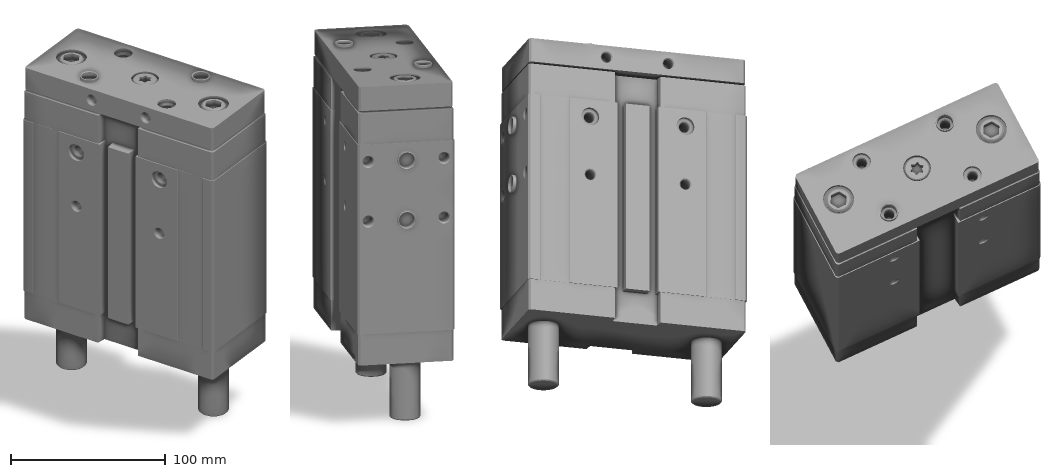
import cadquery as cq
import math


ROD_STICK_OUT = 40.8
CAP_HEIGHT = 20.9
BODY_HEIGHT = 126.8
YOKE_GAP = 1.5
PLATE_HEIGHT = 16.0
LOWER_CAP_Z = ROD_STICK_OUT
BODY_Z = LOWER_CAP_Z + CAP_HEIGHT
UPPER_CAP_Z = BODY_Z + BODY_HEIGHT
PLATE_Z = UPPER_CAP_Z + CAP_HEIGHT + YOKE_GAP
PLATE_TOP = PLATE_Z + PLATE_HEIGHT

BODY_WIDTH = 148.0
BODY_DEPTH = 64.0
CAP_STEP = 0.57
PLATE_STEP = 0.96
CAP_WIDTH = BODY_WIDTH - 2 * CAP_STEP
CAP_DEPTH = BODY_DEPTH - 2 * CAP_STEP
PLATE_WIDTH = BODY_WIDTH - 2 * PLATE_STEP
PLATE_DEPTH = BODY_DEPTH - 2 * PLATE_STEP
CORNER_CHAMFER = 1.4

CHANNEL_DEPTH = 6.9
CHANNEL_FLOOR = BODY_DEPTH / 2 - CHANNEL_DEPTH
CHANNEL_WIDTH = 27.7
WALL_SLOPE = 0.7
CAP_CHANNEL_WIDTH = 31.0
RIB_TOP_WIDTH = 15.8
RIB_SLOPE = 0.5
RIB_SETBACK = 0.5
RECESS_INNER_X = 45.9
RECESS_OUTER_X = 66.3
RECESS_DEPTH = 0.5

GUIDE_DIAMETER = 20.0
GUIDE_X = 55.0
GUIDE_Y = -3.0
GUIDE_CHAMFER = 0.7
PISTON_ROD_DIAMETER = 16.0
GUIDE_POINTS = [(-GUIDE_X, GUIDE_Y), (GUIDE_X, GUIDE_Y)]

HEAD_SETBACK = 0.5
HEAD_POCKET_DEPTH = 2.3
GUIDE_HEAD_DIAMETER = 16.7
GUIDE_HEAD_CHAMFER = 1.4
PISTON_HEAD_DIAMETER = PISTON_ROD_DIAMETER
PISTON_HEAD_CHAMFER = 0.7
PISTON_POCKET_DIAMETER = 18.0
SOCKET_DEPTH = 4.5
HEX_SIDES = 6
HEX_ACROSS_FLATS = 10.0
STAR_TIP_RADIUS = 4.8
STAR_ROOT_RADIUS = 3.2
STAR_TIPS = 6

THREAD_DIAMETER = 6.6
THREAD_MOUTH = 8.0
BLIND_DEPTH = 11.5
DRILL_TIP_ANGLE = 118.0
PLATE_HOLE_X = 20.9
PLATE_HOLE_Z = PLATE_Z + PLATE_HEIGHT / 2

SLEEVE_OUTER = 12.0
SLEEVE_INNER = 10.0
SLEEVE_STICK_OUT = 2.3
SEAT_DEPTH = 2.5
SLEEVE_LENGTH = SLEEVE_STICK_OUT + SEAT_DEPTH
SLEEVE_OUTER_CHAMFER = 0.2
SLEEVE_INNER_CHAMFER = 0.5
TOP_SEAT_X = 30.0
TOP_SEAT_Y = 20.0

UPPER_ROW_Z = 177.0
ROW_PITCH = 40.0
ROWS_Z = [UPPER_ROW_Z, UPPER_ROW_Z - ROW_PITCH]
FRONT_HOLE_X = 32.0
SIDE_HOLE_Y = 25.0

DOWN = cq.Vector(0, 0, -1)
BACK = cq.Vector(0, 1, 0)
INWARD = cq.Vector(1, 0, 0)


def block(width, depth, z, height):
    """Upright block with chamfered vertical corners, centred on X and Y."""
    blank = cq.Workplane("XY", origin=(0, 0, z)).rect(width, depth).extrude(height)
    return blank.edges("|Z").chamfer(CORNER_CHAMFER)


def trough(inner_x, outer_x, outer_y, inner_y, slope, z, height):
    """Prism along Z; both side walls lean inward by slope from outer_y to inner_y."""
    outline = [
        (inner_x, outer_y),
        (outer_x, outer_y),
        (outer_x - slope, inner_y),
        (inner_x + slope, inner_y),
    ]
    return cq.Workplane("XY", origin=(0, 0, z)).polyline(outline).close().extrude(height)


def rod(diameter, x, y, z_bottom, z_top):
    return cq.Workplane("XY", origin=(x, y, z_bottom)).circle(diameter / 2).extrude(z_top - z_bottom)


def drill(diameter, depth, mouth, direction):
    """Straight cylinder starting at the mouth point."""
    return cq.Workplane(cq.Solid.makeCylinder(diameter / 2, depth, mouth, direction))


def mouth_chamfer(mouth, direction):
    """45 degree cone that widens a threaded hole at its mouth."""
    depth = (THREAD_MOUTH - THREAD_DIAMETER) / 2
    return cq.Workplane(cq.Solid.makeCone(THREAD_MOUTH / 2, THREAD_DIAMETER / 2, depth, mouth, direction))


def blind_thread(mouth, direction):
    """Chamfered blind hole with a conical drill tip."""
    tip_height = THREAD_DIAMETER / 2 / math.tan(math.radians(DRILL_TIP_ANGLE / 2))
    tip_start = mouth + direction * BLIND_DEPTH
    tip = cq.Solid.makeCone(THREAD_DIAMETER / 2, 0, tip_height, tip_start, direction)
    hole = drill(THREAD_DIAMETER, BLIND_DEPTH, mouth, direction)
    return hole.union(cq.Workplane(tip)).union(mouth_chamfer(mouth, direction))


def through_thread(mouth, direction, length):
    """Chamfered hole that passes right through."""
    return drill(THREAD_DIAMETER, length, mouth, direction).union(mouth_chamfer(mouth, direction))


def seat(mouth, direction):
    """Flat-bottomed counterbore for a centring sleeve."""
    return drill(SLEEVE_OUTER, SEAT_DEPTH, mouth, direction)


def seated_thread(mouth, direction, length):
    """Sleeve seat with a through thread in its floor."""
    floor = mouth + direction * SEAT_DEPTH
    return seat(mouth, direction).union(through_thread(floor, direction, length - SEAT_DEPTH))


def make_body():
    body = block(BODY_WIDTH, BODY_DEPTH, BODY_Z, BODY_HEIGHT)
    front = -BODY_DEPTH / 2
    half_channel = CHANNEL_WIDTH / 2

    for face_y, floor_y in ((front, -CHANNEL_FLOOR), (-front, CHANNEL_FLOOR)):
        body = body.cut(trough(-half_channel, half_channel, face_y, floor_y, 0, BODY_Z, BODY_HEIGHT))
    half_rib = RIB_TOP_WIDTH / 2
    rib = trough(-half_rib, half_rib, front + RIB_SETBACK, -CHANNEL_FLOOR, -RIB_SLOPE, BODY_Z, BODY_HEIGHT)
    body = body.union(rib)

    for inner_x, outer_x in ((-RECESS_OUTER_X, -RECESS_INNER_X), (RECESS_INNER_X, RECESS_OUTER_X)):
        body = body.cut(
            trough(inner_x, outer_x, front, front + RECESS_DEPTH, WALL_SLOPE, BODY_Z, BODY_HEIGHT)
        )

    for x, y in GUIDE_POINTS:
        body = body.cut(rod(GUIDE_DIAMETER, x, y, BODY_Z, UPPER_CAP_Z))

    for x in (-FRONT_HOLE_X, FRONT_HOLE_X):
        body = body.cut(seated_thread(cq.Vector(x, front, ROWS_Z[0]), BACK, BODY_DEPTH))
        body = body.cut(through_thread(cq.Vector(x, front, ROWS_Z[1]), BACK, BODY_DEPTH))

    for z in ROWS_Z:
        body = body.cut(seat(cq.Vector(-BODY_WIDTH / 2, 0, z), INWARD))
        for y in (-SIDE_HOLE_Y, SIDE_HOLE_Y):
            body = body.cut(blind_thread(cq.Vector(-BODY_WIDTH / 2, y, z), INWARD))
    return body


def make_cap(z):
    """End cap with the centre channels continued and bores for the guide rods."""
    cap = block(CAP_WIDTH, CAP_DEPTH, z, CAP_HEIGHT)
    half_channel = CAP_CHANNEL_WIDTH / 2
    for side in (-1, 1):
        cap = cap.cut(
            trough(
                -half_channel, half_channel, side * CAP_DEPTH / 2, side * CHANNEL_FLOOR,
                WALL_SLOPE, z, CAP_HEIGHT,
            )
        )
    for x, y in GUIDE_POINTS:
        cap = cap.cut(rod(GUIDE_DIAMETER, x, y, z, z + CAP_HEIGHT))
    return cap


def make_upper_cap():
    """Upper cap: the end cap with a bore for the piston rod."""
    return make_cap(UPPER_CAP_Z).cut(rod(PISTON_ROD_DIAMETER, 0, 0, UPPER_CAP_Z, PLATE_Z))


def hex_socket(x, y):
    across_corners = HEX_ACROSS_FLATS / math.cos(math.pi / HEX_SIDES)
    top = cq.Workplane("XY", origin=(x, y, PLATE_TOP - HEAD_SETBACK))
    return top.polygon(HEX_SIDES, across_corners).extrude(-SOCKET_DEPTH)


def star_socket():
    """Six-pointed socket on the piston rod axis, with one tip along X."""
    corners = []
    for index in range(2 * STAR_TIPS):
        radius = STAR_TIP_RADIUS if index % 2 == 0 else STAR_ROOT_RADIUS
        angle = index * math.pi / STAR_TIPS
        corners.append((radius * math.cos(angle), radius * math.sin(angle)))
    top = cq.Workplane("XY", origin=(0, 0, PLATE_TOP - HEAD_SETBACK))
    return top.polyline(corners).close().extrude(-SOCKET_DEPTH)


def add_head(yoke, x, y, pocket_diameter, head_diameter, head_chamfer, socket):
    """Sink a pocket in the plate top and stand a chamfered head with a socket in it."""
    floor_z = PLATE_TOP - HEAD_POCKET_DEPTH
    pocket = rod(pocket_diameter, x, y, floor_z, PLATE_TOP)
    head = rod(head_diameter, x, y, floor_z, PLATE_TOP - HEAD_SETBACK)
    head = head.faces(">Z").chamfer(head_chamfer)
    return yoke.cut(pocket).union(head).cut(socket)


def make_yoke():
    """Yoke plate in one piece with the guide rods and the piston rod."""
    yoke = block(PLATE_WIDTH, PLATE_DEPTH, PLATE_Z, PLATE_HEIGHT)
    for x in (-TOP_SEAT_X, TOP_SEAT_X):
        for y in (-TOP_SEAT_Y, TOP_SEAT_Y):
            yoke = yoke.cut(seated_thread(cq.Vector(x, y, PLATE_TOP), DOWN, PLATE_HEIGHT))
    for x in (-PLATE_HOLE_X, PLATE_HOLE_X):
        yoke = yoke.cut(blind_thread(cq.Vector(x, -PLATE_DEPTH / 2, PLATE_HOLE_Z), BACK))

    for x, y in GUIDE_POINTS:
        guide = rod(GUIDE_DIAMETER, x, y, 0, PLATE_Z).faces("<Z").chamfer(GUIDE_CHAMFER)
        yoke = yoke.union(guide)
        yoke = add_head(
            yoke, x, y, GUIDE_DIAMETER, GUIDE_HEAD_DIAMETER, GUIDE_HEAD_CHAMFER, hex_socket(x, y)
        )
    yoke = yoke.union(rod(PISTON_ROD_DIAMETER, 0, 0, UPPER_CAP_Z, PLATE_Z))
    return add_head(
        yoke, 0, 0, PISTON_POCKET_DIAMETER, PISTON_HEAD_DIAMETER, PISTON_HEAD_CHAMFER, star_socket()
    )


def make_sleeve(mouth, direction):
    """Centring sleeve seated at the mouth point and standing out against the direction."""
    start = mouth - direction * SLEEVE_STICK_OUT
    plane = cq.Plane(origin=start, normal=direction)
    ring = cq.Workplane(plane).circle(SLEEVE_OUTER / 2).extrude(SLEEVE_LENGTH)
    ring = ring.edges().chamfer(SLEEVE_OUTER_CHAMFER)
    bore = cq.Workplane(plane).circle(SLEEVE_INNER / 2).extrude(SLEEVE_LENGTH)
    mouth_radius = SLEEVE_INNER / 2 + SLEEVE_INNER_CHAMFER
    flare = cq.Solid.makeCone(mouth_radius, SLEEVE_INNER / 2, SLEEVE_INNER_CHAMFER, start, direction)
    return ring.cut(bore).cut(cq.Workplane(flare))


body = make_body()
lower_cap = make_cap(LOWER_CAP_Z)
upper_cap = make_upper_cap()
yoke = make_yoke()

sleeve_places = [(cq.Vector(side * TOP_SEAT_X, side * TOP_SEAT_Y, PLATE_TOP), DOWN) for side in (-1, 1)]
sleeve_places += [(cq.Vector(-BODY_WIDTH / 2, 0, z), INWARD) for z in ROWS_Z]
sleeves = [make_sleeve(mouth, direction) for mouth, direction in sleeve_places]

result = cq.Compound.makeCompound(
    [body.val(), lower_cap.val(), upper_cap.val(), yoke.val()] + [sleeve.val() for sleeve in sleeves]
)